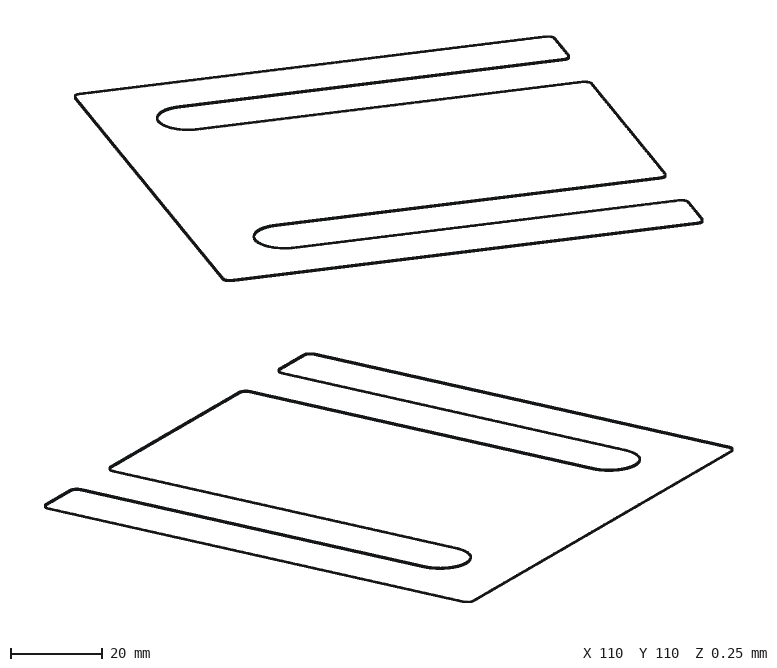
import cadquery as cq

side = 110.0
thickness = 0.25
corner_radius = 1.6

slot_width = 13.4
slot_depth = 96.7
slot_offset = 35.0


def open_slot(center_x):
    """Return the cutter for one slot: a straight channel with a half-round closed end."""
    slot_radius = slot_width / 2
    straight_length = slot_depth - slot_radius
    round_center_y = side / 2 - straight_length
    channel = (
        cq.Workplane("XY")
        .center(center_x, side / 2 - straight_length / 2)
        .rect(slot_width, straight_length)
        .extrude(thickness)
    )
    round_end = (
        cq.Workplane("XY")
        .center(center_x, round_center_y)
        .circle(slot_radius)
        .extrude(thickness)
    )
    return channel.union(round_end)


plate = cq.Workplane("XY").rect(side, side).extrude(thickness)
for center_x in (-slot_offset, slot_offset):
    plate = plate.cut(open_slot(center_x))

outer_corners = plate.faces("<Y or >Y").edges("|Z")
result = outer_corners.fillet(corner_radius)